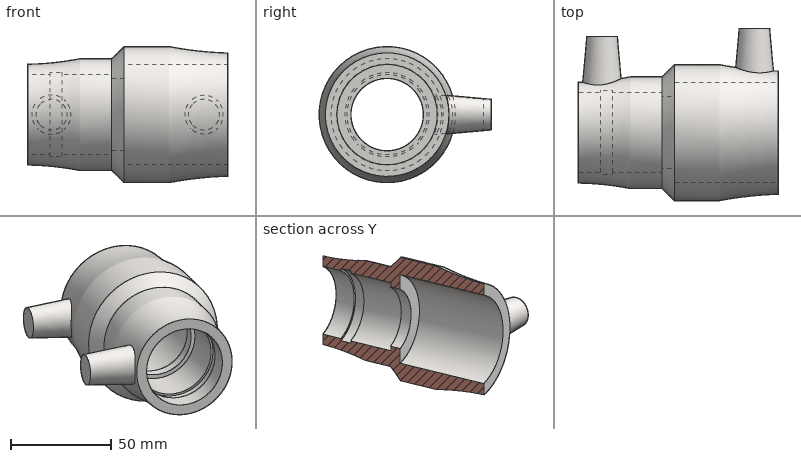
import cadquery as cq

length = 100.0
small_neck_start = 26.4
cone_start = 42.0
cone_end = 48.1
large_taper_start = 70.6
small_end_radius = 25.2
neck_radius = 28.0
large_radius = 34.0
large_end_radius = 30.8
taper_sag = 0.6

stop_radius = 18.0
small_socket_radius = 20.0
large_socket_radius = 25.0
groove_start = 11.3
groove_end = 17.3
groove_radius = 21.0

terminal_tip_radius = 7.7
small_terminal_x = 12.0
small_terminal_tip_y = 48.1
large_terminal_x = 88.0
large_terminal_tip_y = 52.0
terminal_root_y = 22.0
terminal_slope = 0.09


def make_body():
    """Revolve the outer profile, bowed inwards at both end tapers."""
    small_mid = (small_neck_start / 2, (small_end_radius + neck_radius) / 2 - taper_sag)
    large_mid = (
        (large_taper_start + length) / 2,
        (large_radius + large_end_radius) / 2 - taper_sag,
    )
    profile = (
        cq.Workplane("XY")
        .moveTo(0, 0)
        .lineTo(0, small_end_radius)
        .threePointArc(small_mid, (small_neck_start, neck_radius))
        .lineTo(cone_start, neck_radius)
        .lineTo(cone_end, large_radius)
        .lineTo(large_taper_start, large_radius)
        .threePointArc(large_mid, (length, large_end_radius))
        .lineTo(length, 0)
        .close()
    )
    return profile.revolve(360, (0, 0, 0), (1, 0, 0))


def make_terminal(x, tip_y):
    """Conical stud that narrows from inside the sleeve wall to its flat tip."""
    height = tip_y - terminal_root_y
    root_radius = terminal_tip_radius + terminal_slope * height
    cone = cq.Solid.makeCone(
        root_radius,
        terminal_tip_radius,
        height,
        pnt=cq.Vector(x, terminal_root_y, 0),
        dir=cq.Vector(0, 1, 0),
    )
    return cq.Workplane(obj=cone)


def make_bore(radius, start, end):
    """Round cutter on the sleeve axis between two stations."""
    return cq.Workplane("YZ").workplane(offset=start).circle(radius).extrude(end - start)


result = (
    make_body()
    .union(make_terminal(small_terminal_x, small_terminal_tip_y))
    .union(make_terminal(large_terminal_x, large_terminal_tip_y))
    .cut(make_bore(stop_radius, 0, length))
    .cut(make_bore(small_socket_radius, 0, cone_start))
    .cut(make_bore(groove_radius, groove_start, groove_end))
    .cut(make_bore(large_socket_radius, cone_end, length))
)